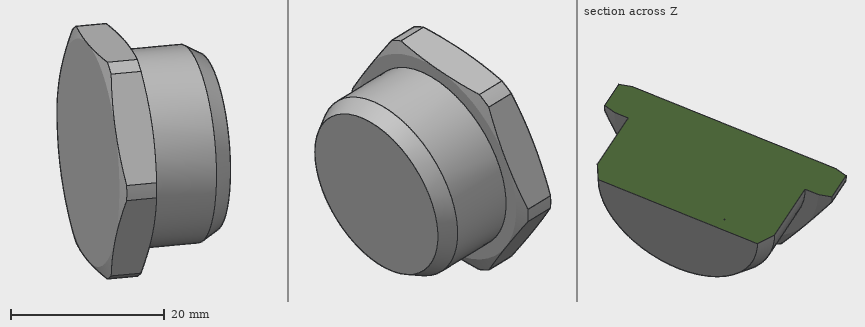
import cadquery as cq
import math

ACROSS_FLATS = 30.0
CORNER_DIAMETER = 33.5
HEAD_THICKNESS = 5.0
HEAD_CHAMFER_ANGLE = 15.0

TOTAL_LENGTH = 16.0
PLUG_DIAMETER = 26.1
PLUG_CHAMFER_LENGTH = 2.3
PLUG_CHAMFER_ANGLE = 30.0

HEXAGON_SIDES = 6


def revolve_about_y(profile_points):
    """Solid of revolution about Y from (radius, y) points."""
    profile = cq.Workplane("XY").polyline(profile_points).close()
    return profile.revolve(360, (0, 0, 0), (0, 1, 0))


def make_head():
    """Hexagonal prism with turned corners, chamfered on both faces."""
    point_to_point = ACROSS_FLATS / math.cos(math.pi / HEXAGON_SIDES)
    prism = (
        cq.Workplane("XZ")
        .polygon(HEXAGON_SIDES, point_to_point)
        .extrude(-HEAD_THICKNESS)
    )

    face_radius = ACROSS_FLATS / 2
    corner_radius = CORNER_DIAMETER / 2
    chamfer_depth = (corner_radius - face_radius) * math.tan(math.radians(HEAD_CHAMFER_ANGLE))
    turned_envelope = revolve_about_y([
        (0, 0),
        (face_radius, 0),
        (corner_radius, chamfer_depth),
        (corner_radius, HEAD_THICKNESS - chamfer_depth),
        (face_radius, HEAD_THICKNESS),
        (0, HEAD_THICKNESS),
    ])
    return prism.intersect(turned_envelope)


def make_plug():
    """Solid cylinder with a conical lead-in at its free end."""
    plug_radius = PLUG_DIAMETER / 2
    tip_radius = plug_radius - PLUG_CHAMFER_LENGTH * math.tan(math.radians(PLUG_CHAMFER_ANGLE))
    head_middle = HEAD_THICKNESS / 2
    return revolve_about_y([
        (0, head_middle),
        (plug_radius, head_middle),
        (plug_radius, TOTAL_LENGTH - PLUG_CHAMFER_LENGTH),
        (tip_radius, TOTAL_LENGTH),
        (0, TOTAL_LENGTH),
    ])


result = make_head().union(make_plug())